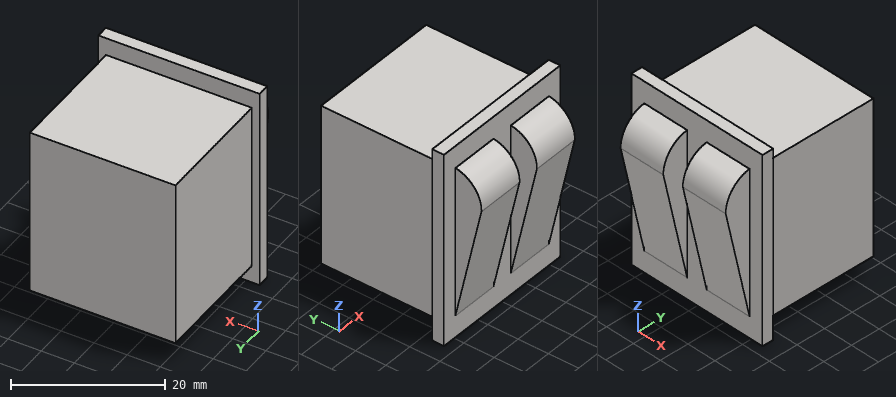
import cadquery as cq
import math

plate_width = 24.37
plate_height = 31.25
plate_thickness = 1.95

body_width = 22.02
body_height = 25.77
body_depth = 19.3

rocker_width = 7.97
rocker_height = 24.05
rocker_projection = 4.3
rocker_pitch = 11.6
crown_drop = 5.0
crown_radius = 5.0


def centred_block(width, depth, height, front_y):
    """Block centred on X and Z, extending towards +Y from front_y."""
    return cq.Workplane("XY").box(width, depth, height).translate((0, front_y + depth / 2, 0))


def crown_midpoint(start, end, radius):
    """Middle of the outward-bulging arc between two (y, z) points."""
    dy = end[0] - start[0]
    dz = end[1] - start[1]
    chord = math.hypot(dy, dz)
    bulge = radius - math.sqrt(radius**2 - (chord / 2) ** 2)
    middle_y = (start[0] + end[0]) / 2 - bulge * dz / chord
    middle_z = (start[1] + end[1]) / 2 + bulge * dy / chord
    return (middle_y, middle_z)


def rocker(center_x):
    """Wedge with a flat sloping face and a rounded crown at its upper end."""
    bottom = (0, -rocker_height / 2)
    top = (0, rocker_height / 2)
    tip = (-rocker_projection, rocker_height / 2 - crown_drop)
    return (
        cq.Workplane("YZ", origin=(center_x, 0, 0))
        .moveTo(*bottom)
        .lineTo(*tip)
        .threePointArc(crown_midpoint(tip, top, crown_radius), top)
        .close()
        .extrude(rocker_width / 2, both=True)
    )


plate = centred_block(plate_width, plate_thickness, plate_height, 0)
body = centred_block(body_width, body_depth, body_height, plate_thickness)

result = plate.union(body)
for side in (-1, 1):
    result = result.union(rocker(side * rocker_pitch / 2))